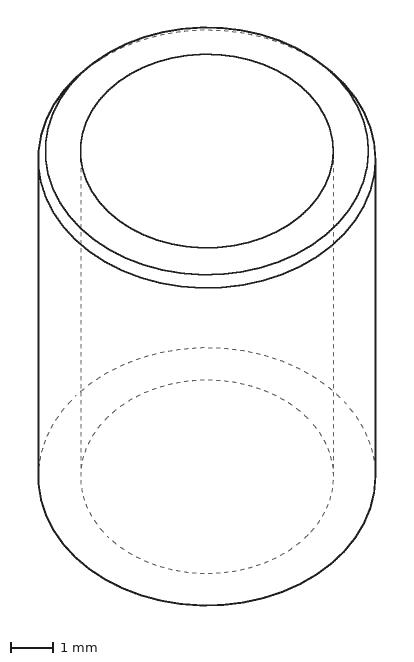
import cadquery as cq

length = 12.0
outer_diameter = 8.0
bore_diameter = 6.0

chamfer_height = 0.29
chamfer_width = 0.17

outer_radius = outer_diameter / 2
bore_radius = bore_diameter / 2

wall_section = (
    cq.Workplane("XZ")
    .moveTo(bore_radius, 0)
    .lineTo(outer_radius, 0)
    .lineTo(outer_radius, length - chamfer_height)
    .lineTo(outer_radius - chamfer_width, length)
    .lineTo(bore_radius, length)
    .close()
)

result = wall_section.revolve(360, (0, 0, 0), (0, 1, 0))